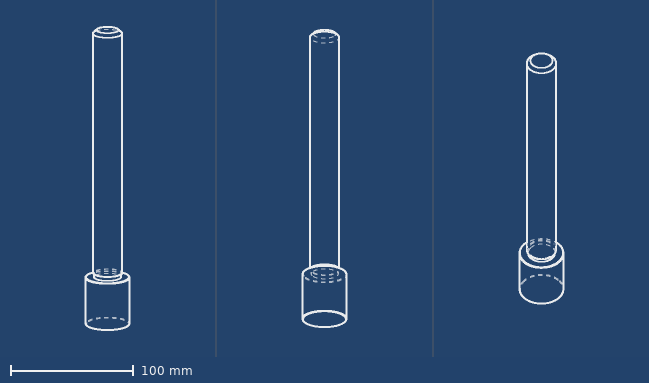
import cadquery as cq

total_length = 250.0
head_diameter = 36.0
shank_diameter = 24.0
neck_diameter = 22.0

head_length = 40.0
neck_length = 3.5

head_chamfer = 0.5
tip_chamfer_width = 3.0
tip_chamfer_height = 3.0

head_radius = head_diameter / 2
shank_radius = shank_diameter / 2
neck_radius = neck_diameter / 2
neck_top = head_length + neck_length

half_section = [
    (0, 0),
    (head_radius - head_chamfer, 0),
    (head_radius, head_chamfer),
    (head_radius, head_length - head_chamfer),
    (head_radius - head_chamfer, head_length),
    (neck_radius, head_length),
    (neck_radius, neck_top),
    (shank_radius, neck_top),
    (shank_radius, total_length - tip_chamfer_height),
    (shank_radius - tip_chamfer_width, total_length),
    (0, total_length),
]

result = (
    cq.Workplane("XZ")
    .polyline(half_section)
    .close()
    .revolve(360, (0, 0, 0), (0, 1, 0))
)